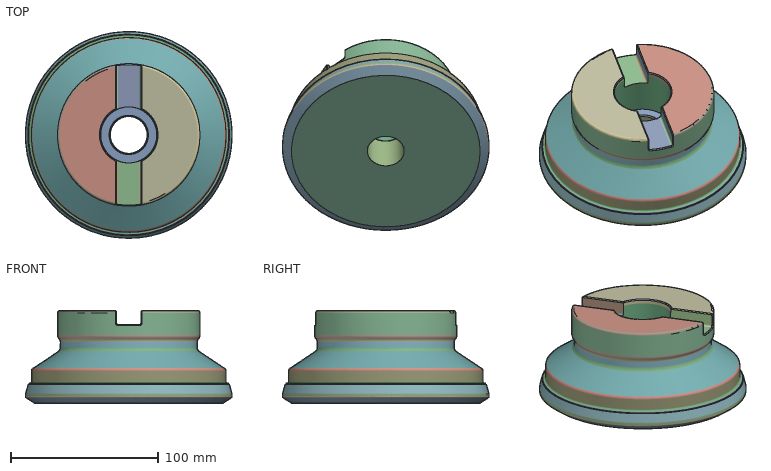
import cadquery as cq
import math

flange_radius = 70.3
base_radius = 64.1
base_chamfer_height = 4.1
flange_taper_start = 6.2
flange_taper_end = 12.7
flange_taper_radius = 68.53
ledge_radius = 67.97
ledge_lip_bottom = 13.0
ledge_height = 13.6
flange_bottom_round = 1.0
flange_taper_round = 2.8
ledge_edge_round = 0.4
ledge_inner_round = 1.0

body_radius = 66.14
neck_radius = 46.6
cone_bottom = 23.0
cone_top = 36.1
shoulder_round = 2.0
neck_round = 3.0

height = 63.0
head_radius = 48.43
flare_bottom = 41.5
flare_top = 46.1
head_edge_round = 1.5

bore_radius = 19.05
bore_depth = 33.7
bore_chamfer = 0.7
lead_in_width = 0.1
lead_in_length = 2.4
hole_radius = 12.5
hole_chamfer = 0.8

slot_half_width = 8.3
slot_depth = 9.5
slot_corner_round = 1.3
slot_chamfer = 0.7

tolerance = 0.01


def revolve_about_z(profile):
    """Spin a closed half profile, drawn as (radius, height), about the part axis."""
    return profile.revolve(360, (0, 0, 0), (0, 1, 0))


def round_ring(solid, radius, level, size):
    """Round the circular edge of the given radius at the given height."""

    def is_ring(edge):
        return (
            edge.geomType() == "CIRCLE"
            and math.isclose(edge.radius(), radius, abs_tol=tolerance)
            and math.isclose(edge.startPoint().z, level, abs_tol=tolerance)
        )

    return solid.edges().filter(is_ring).fillet(size)


def make_body():
    flare_middle = ((neck_radius + head_radius) / 2, (flare_bottom + flare_top) / 2)
    profile = (
        cq.Workplane("XZ")
        .lineTo(base_radius, 0)
        .lineTo(flange_radius, base_chamfer_height)
        .lineTo(flange_radius, flange_taper_start)
        .lineTo(flange_taper_radius, flange_taper_end)
        .lineTo(ledge_radius, ledge_lip_bottom)
        .lineTo(ledge_radius, ledge_height)
        .lineTo(body_radius, ledge_height)
        .lineTo(body_radius, cone_bottom)
        .lineTo(neck_radius, cone_top)
        .lineTo(neck_radius, flare_bottom)
        .tangentArcPoint(flare_middle, relative=False)
        .tangentArcPoint((head_radius, flare_top), relative=False)
        .lineTo(head_radius, height)
        .lineTo(0, height)
        .close()
    )
    body = revolve_about_z(profile)
    rounds = (
        (flange_radius, base_chamfer_height, flange_bottom_round),
        (flange_radius, flange_taper_start, flange_taper_round),
        (ledge_radius, ledge_height, ledge_edge_round),
        (body_radius, ledge_height, ledge_inner_round),
        (body_radius, cone_bottom, shoulder_round),
        (neck_radius, cone_top, neck_round),
        (head_radius, height, head_edge_round),
    )
    for radius, level, size in rounds:
        body = round_ring(body, radius, level, size)
    return body


def make_bore():
    """Through hole opening into a wide bore with a slight lead-in and a chamfered mouth."""
    floor = height - bore_depth
    mouth_radius = bore_radius + lead_in_width
    chamfer_bottom = height - bore_chamfer
    profile = (
        cq.Workplane("XZ")
        .lineTo(hole_radius, 0)
        .lineTo(hole_radius, floor - hole_chamfer)
        .lineTo(hole_radius + hole_chamfer, floor)
        .lineTo(bore_radius, floor)
        .lineTo(bore_radius, chamfer_bottom - lead_in_length)
        .lineTo(mouth_radius, chamfer_bottom)
        .lineTo(mouth_radius + bore_chamfer, height)
        .lineTo(0, height)
        .close()
    )
    return revolve_about_z(profile)


def make_slot():
    """Bar along Y with rounded lower corners, centred on the top face."""
    return (
        cq.Workplane("XZ", origin=(0, 0, height))
        .rect(2 * slot_half_width, 2 * slot_depth)
        .extrude(flange_radius, both=True)
        .edges("|Y and <Z")
        .fillet(slot_corner_round)
    )


def is_slot_rim(edge):
    """True for the slot edges in the top face and those at its two open ends."""
    centre = edge.Center()
    on_wall = math.isclose(abs(centre.x), slot_half_width, abs_tol=tolerance)
    on_top = math.isclose(centre.z, height, abs_tol=tolerance)
    in_slot = (
        abs(centre.x) < slot_half_width + tolerance
        and centre.z > height - slot_depth - tolerance
    )
    at_end = abs(centre.y) > (head_radius + bore_radius) / 2
    return (on_wall and on_top) or (in_slot and at_end)


result = make_body().cut(make_bore()).cut(make_slot())
result = result.edges().filter(is_slot_rim).chamfer(slot_chamfer)